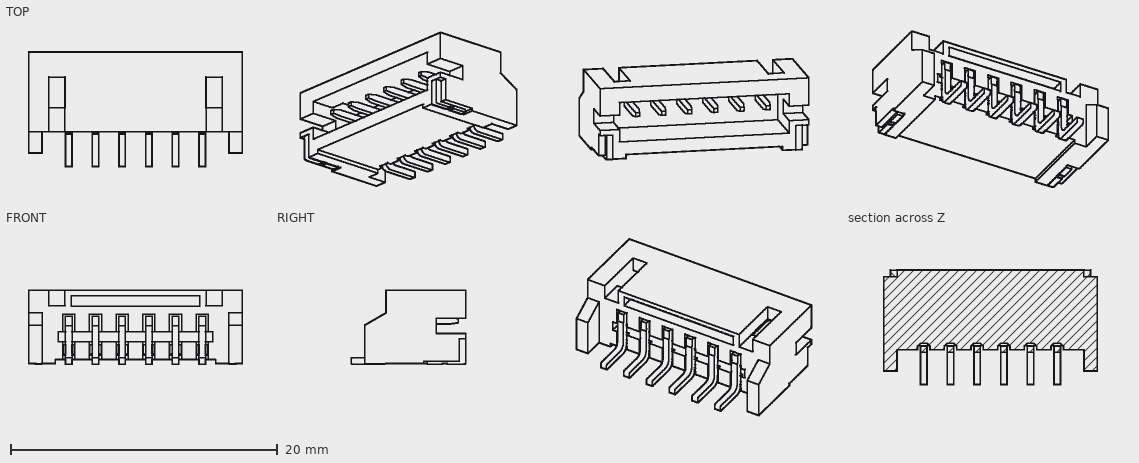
import cadquery as cq


WIDTH = 16.0
TOTAL_HEIGHT = 5.55
STANDOFF = 0.05
BODY_DEPTH = 6.0
HALF_WIDTH = WIDTH / 2
UNDERSIDE_RELIEF = 0.3
FOOT_WIDTH = 2.0

EAR_WIDTH = 1.0
EAR_DEPTH = 1.6
EAR_TOP_DROP = 1.7
EAR_NOSE_DROP = 2.62

SIDE_WALL = 1.5
TOP_WALL = 1.15
BOTTOM_WALL = 1.0
CAVITY_DEPTH = 4.18
SIDE_NOTCH_DEPTH = 2.22
SIDE_NOTCH_DROP = 2.11
SIDE_NOTCH_HEIGHT = 1.12

GROOVE_WIDTH = 1.2
GROOVE_SETBACK = 1.9

UPPER_SLOT_LENGTH = 9.6
UPPER_SLOT_DROP = 0.4
UPPER_SLOT_HEIGHT = 0.8
LOWER_SLOT_LENGTH = 11.58
LOWER_SLOT_DROP = 3.1
LOWER_SLOT_HEIGHT = 0.75
SLOT_DEPTH = 1.0

PIN_COUNT = 6
PIN_PITCH = 2.0
PIN_SIZE = 0.5
PIN_DROP = 2.05
PIN_TIP_SETBACK = 0.58
PIN_TAPER_LENGTH = 0.62
PIN_TAPER = 0.1
LEG_TOP_DROP = 1.95
LEG_HEAD_SETBACK = 0.06
LEG_STEP_HEIGHT = 0.2
LEG_STEP_RADIUS = 0.2
LEG_HEAD_HEIGHT = 0.51
BEND_RADIUS = 0.5
FOOT_REACH = 2.6
FOOT_END_RADIUS = 0.1

RECESS_WIDTH = 0.91
RECESS_DROP = 1.8
RECESS_DEPTH = 0.3
POCKET_WIDTH = 0.83
POCKET_DROP = 4.08
POCKET_HEIGHT = 0.78
POCKET_DEPTH = 0.2
POCKET_SIDE_TAPER = 0.2
POCKET_FLOOR_RISE = 0.13

TAB_THICKNESS = 0.5
TAB_SETBACK = 0.5
TAB_TOP = 1.92
TAB_UPRIGHT = 0.51
TAB_ARM_HEIGHT = 0.24
TAB_LENGTH = 2.91
TAB_CORNER_RADIUS = 0.13
TAB_POCKET_LENGTH = 3.17
TAB_NOTCH_START = 1.4
TAB_NOTCH_WIDTH = 0.35
TAB_NOTCH_DEPTH = 0.08

BODY_FRONT = -BODY_DEPTH
EAR_FRONT = BODY_FRONT - EAR_DEPTH
RELIEF_Z = STANDOFF + UNDERSIDE_RELIEF
CAVITY_TOP = TOTAL_HEIGHT - TOP_WALL
CAVITY_FLOOR = RELIEF_Z + BOTTOM_WALL
RECESS_BACK = BODY_FRONT + RECESS_DEPTH
LEG_FRONT = RECESS_BACK - PIN_SIZE
FOOT_END = BODY_FRONT - FOOT_REACH


def block(x_range, y_range, z_range):
    """Axis-aligned box between the given (low, high) limits."""
    size = [high - low for low, high in (x_range, y_range, z_range)]
    corner = (x_range[0], y_range[0], z_range[0])
    return cq.Workplane("XY").box(*size, centered=False).translate(corner)


def mirrored_pair(shape):
    """The shape together with its mirror image across the YZ plane."""
    return shape.union(shape.mirror("YZ"))


def side_profile(points):
    """Closed outline of (Y, Z) points in the plane X = 0."""
    return cq.Workplane("YZ").polyline(points).close()


def housing_block():
    """Solid block with the two front ears and the clearance below."""
    body = block((-HALF_WIDTH, HALF_WIDTH), (BODY_FRONT, 0), (STANDOFF, TOTAL_HEIGHT))
    ear = side_profile([
        (BODY_FRONT, STANDOFF),
        (EAR_FRONT, STANDOFF),
        (EAR_FRONT, TOTAL_HEIGHT - EAR_NOSE_DROP),
        (BODY_FRONT, TOTAL_HEIGHT - EAR_TOP_DROP),
    ]).extrude(EAR_WIDTH).translate((-HALF_WIDTH, 0, 0))
    inner_foot_x = HALF_WIDTH - FOOT_WIDTH
    relief = block((-inner_foot_x, inner_foot_x), (BODY_FRONT, 0), (STANDOFF, RELIEF_Z))
    return body.union(mirrored_pair(ear)).cut(relief)


def mating_cavity():
    """Cavity open to the rear, with a notch through each side wall."""
    inner_x = HALF_WIDTH - SIDE_WALL
    cavity = block((-inner_x, inner_x), (-CAVITY_DEPTH, 0), (CAVITY_FLOOR, CAVITY_TOP))
    notch_top = TOTAL_HEIGHT - SIDE_NOTCH_DROP
    side_notches = block(
        (-HALF_WIDTH, HALF_WIDTH), (-SIDE_NOTCH_DEPTH, 0), (notch_top - SIDE_NOTCH_HEIGHT, notch_top)
    )
    return cavity.union(side_notches)


def keyway_grooves():
    """Grooves open to the top and the front, which break into the cavity."""
    outer_x = -HALF_WIDTH + SIDE_WALL
    groove = block(
        (outer_x, outer_x + GROOVE_WIDTH), (BODY_FRONT, -GROOVE_SETBACK), (CAVITY_TOP, TOTAL_HEIGHT)
    )
    return mirrored_pair(groove)


def front_slot(length, drop, height):
    """Blind horizontal slot in the front face."""
    top = TOTAL_HEIGHT - drop
    return block((-length / 2, length / 2), (BODY_FRONT, BODY_FRONT + SLOT_DEPTH), (top - height, top))


def leg_recess():
    """Recess for the leg at X = 0, with the tapered pocket in its back."""
    recess = block(
        (-RECESS_WIDTH / 2, RECESS_WIDTH / 2),
        (BODY_FRONT, RECESS_BACK),
        (STANDOFF, TOTAL_HEIGHT - RECESS_DROP),
    )
    pocket_middle = TOTAL_HEIGHT - POCKET_DROP - POCKET_HEIGHT / 2
    pocket = (
        cq.Workplane("XZ", origin=(0, RECESS_BACK, pocket_middle))
        .rect(POCKET_WIDTH, POCKET_HEIGHT)
        .workplane(offset=-POCKET_DEPTH)
        .center(0, POCKET_FLOOR_RISE / 2)
        .rect(POCKET_WIDTH - 2 * POCKET_SIDE_TAPER, POCKET_HEIGHT - POCKET_FLOOR_RISE)
        .loft()
    )
    return recess.union(pocket)


def contact():
    """Contact at X = 0: tapered mating pin, upright leg and soldering foot."""
    pin_middle = TOTAL_HEIGHT - PIN_DROP - PIN_SIZE / 2
    taper_start = -PIN_TIP_SETBACK - PIN_TAPER_LENGTH
    tip_size = PIN_SIZE - 2 * PIN_TAPER
    pin = (
        cq.Workplane("XZ", origin=(0, taper_start, pin_middle))
        .rect(PIN_SIZE, PIN_SIZE)
        .extrude(taper_start - RECESS_BACK)
    )
    tip = (
        cq.Workplane("XZ", origin=(0, taper_start, pin_middle))
        .rect(PIN_SIZE, PIN_SIZE)
        .workplane(offset=-PIN_TAPER_LENGTH)
        .rect(tip_size, tip_size)
        .loft()
    )
    return pin.union(tip).union(bent_leg())


def bent_leg():
    """Leg with a set-back head, a rounded step below it and a foot with a rounded end."""
    leg_top = TOTAL_HEIGHT - LEG_TOP_DROP
    head_bottom = leg_top - LEG_HEAD_HEIGHT
    head_front = LEG_FRONT + LEG_HEAD_SETBACK
    inner_bend_y = LEG_FRONT - BEND_RADIUS
    outer_bend_y = RECESS_BACK - BEND_RADIUS
    leg = (
        cq.Workplane("YZ")
        .moveTo(RECESS_BACK, leg_top)
        .lineTo(head_front, leg_top)
        .lineTo(head_front, head_bottom)
        .radiusArc((LEG_FRONT, head_bottom - LEG_STEP_HEIGHT), LEG_STEP_RADIUS)
        .lineTo(LEG_FRONT, PIN_SIZE + BEND_RADIUS)
        .radiusArc((inner_bend_y, PIN_SIZE), BEND_RADIUS)
        .lineTo(FOOT_END, PIN_SIZE)
        .lineTo(FOOT_END, 0)
        .lineTo(outer_bend_y, 0)
        .radiusArc((RECESS_BACK, BEND_RADIUS), -BEND_RADIUS)
        .close()
        .extrude(PIN_SIZE / 2, both=True)
    )
    return leg.faces("<Y").edges("|X").fillet(FOOT_END_RADIUS)


def tab_pocket():
    """L-shaped pocket at the -X side, open to the side, the rear and below."""
    profile = side_profile([
        (0, 0),
        (0, TAB_TOP),
        (-TAB_UPRIGHT, TAB_TOP),
        (-TAB_UPRIGHT, TAB_ARM_HEIGHT),
        (-TAB_POCKET_LENGTH, TAB_ARM_HEIGHT),
        (-TAB_POCKET_LENGTH, 0),
    ])
    return profile.extrude(TAB_SETBACK + TAB_THICKNESS).translate((-HALF_WIDTH, 0, 0))


def solder_tab():
    """Tab of the -X side."""
    plate = side_profile([
        (0, 0),
        (0, TAB_TOP),
        (-TAB_UPRIGHT, TAB_TOP),
        (-TAB_UPRIGHT, TAB_ARM_HEIGHT),
        (-TAB_LENGTH, TAB_ARM_HEIGHT),
        (-TAB_LENGTH, 0),
    ]).extrude(TAB_THICKNESS)
    plate = plate.edges("|X and >Y and <Z").fillet(TAB_CORNER_RADIUS)
    notch_end = -TAB_NOTCH_START - TAB_NOTCH_WIDTH
    notch = block((0, TAB_THICKNESS), (notch_end, -TAB_NOTCH_START), (0, TAB_NOTCH_DEPTH))
    return plate.cut(notch).translate((-HALF_WIDTH + TAB_SETBACK, 0, 0))


housing = housing_block().cut(mating_cavity()).cut(keyway_grooves())
housing = housing.cut(front_slot(UPPER_SLOT_LENGTH, UPPER_SLOT_DROP, UPPER_SLOT_HEIGHT))
housing = housing.cut(front_slot(LOWER_SLOT_LENGTH, LOWER_SLOT_DROP, LOWER_SLOT_HEIGHT))
housing = housing.cut(mirrored_pair(tab_pocket()))

first_pin_x = -PIN_PITCH * (PIN_COUNT - 1) / 2
pin_places = [(first_pin_x + i * PIN_PITCH, 0, 0) for i in range(PIN_COUNT)]
for place in pin_places:
    housing = housing.cut(leg_recess().translate(place))
for place in pin_places:
    housing = housing.union(contact().translate(place))

left_tab = solder_tab()
tabs = [left_tab, left_tab.mirror("YZ")]

result = cq.Compound.makeCompound([*housing.solids().vals(), *[tab.val() for tab in tabs]])